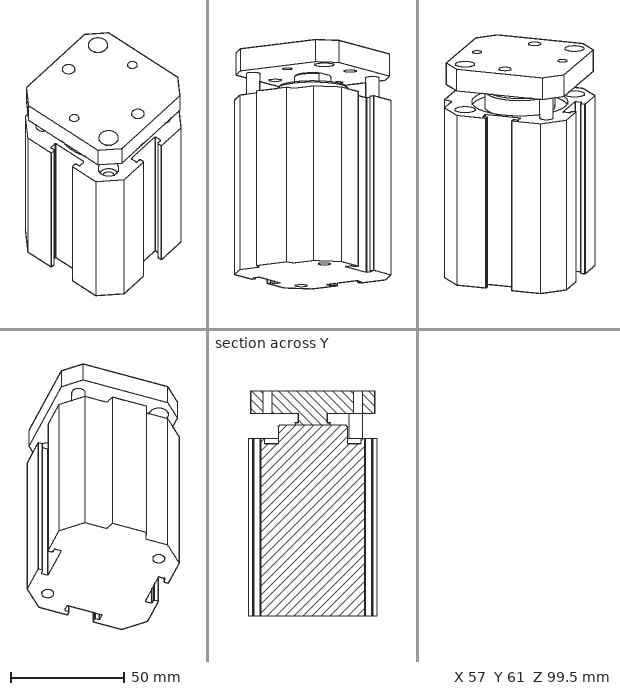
import cadquery as cq
import math

housing_width = 57.0
housing_half = housing_width / 2
housing_height = 78.5
housing_chamfer = 8.9

slot_mouth_half = 6.0
slot_inner_half = 8.25
slot_lip = 2.3
slot_depth = 5.5
slot_mouth_bevel = 0.2
slot_lip_bevel = 0.4
slot_corner_bevel = 0.25

ridge_height = 4.0
ridge_top_half = 8.1
ridge_draft = 15.0
ridge_root_radius = 1.0

corner_offset = 19.0
mount_hole_diameter = 5.3
mount_counterbore_diameter = 9.0
mount_counterbore_depth = 5.5
pin_diameter = 6.0

recess_diameter = 42.5
recess_depth = 2.3
collar_diameter = 31.0
collar_projection = 6.0
collar_chamfer = 0.75

rod_diameter = 16.0
rod_end_chamfer = 0.5
rod_flat_width = 13.0
rod_flat_start = 1.0

plate_width = 55.0
plate_thickness = 10.0
plate_chamfer = 7.5
plate_gap = 11.0
plate_access_diameter = 8.5
plate_hole_offset = 20.0
plate_x_hole_diameter = 5.5
plate_y_hole_diameter = 4.13

collar_top = housing_height + collar_projection
rod_flat_bottom = collar_top + rod_flat_start
plate_bottom = housing_height + plate_gap
mount_points = [(-corner_offset, corner_offset), (corner_offset, -corner_offset)]
pin_points = [(-corner_offset, -corner_offset), (corner_offset, corner_offset)]
plate_x_points = [(-plate_hole_offset, 0), (plate_hole_offset, 0)]
plate_y_points = [(0, -plate_hole_offset), (0, plate_hole_offset)]


def at_height(z):
    """Workplane parallel to XY at height z."""
    return cq.Workplane("XY", origin=(0, 0, z))


def make_octagon_block(width, chamfer, bottom, height):
    """Square block with its four upright corners cut off."""
    block = at_height(bottom).rect(width, width).extrude(height)
    return block.edges("|Z").chamfer(chamfer)


def make_cylinders(points, diameter, bottom, height):
    """One upright cylinder at each point, for cutting holes or standing as pins."""
    return at_height(bottom).pushPoints(points).circle(diameter / 2).extrude(height)


def make_slot_cutter():
    """T-slot on the -Y side: mouth between two beveled lips, wider behind them."""
    face = -housing_half
    lip_back = face + slot_lip
    floor = face + slot_depth
    right_side = [
        (slot_mouth_half + slot_mouth_bevel, face),
        (slot_mouth_half, face + slot_mouth_bevel),
        (slot_mouth_half, lip_back - slot_lip_bevel),
        (slot_mouth_half + slot_lip_bevel, lip_back),
        (slot_inner_half - slot_corner_bevel, lip_back),
        (slot_inner_half, lip_back + slot_corner_bevel),
        (slot_inner_half, floor - slot_corner_bevel),
        (slot_inner_half - slot_corner_bevel, floor),
    ]
    left_side = [(-x, y) for x, y in reversed(right_side)]
    return at_height(0).polyline(right_side + left_side).close().extrude(housing_height)


def make_ridge():
    """Drafted ridge on the +Y side, flaring into the housing face through concave root arcs."""
    draft = math.radians(ridge_draft)
    corner_half = ridge_top_half + ridge_height * math.tan(draft)
    turn = math.pi / 2 - draft
    tangent_length = ridge_root_radius * math.tan(turn / 2)

    top_y = housing_half + ridge_height
    foot_half = corner_half + tangent_length
    flank_half = corner_half - tangent_length * math.sin(draft)
    flank_y = housing_half + tangent_length * math.cos(draft)
    arc_half = foot_half - ridge_root_radius * math.sin(turn / 2)
    arc_y = housing_half + ridge_root_radius * (1 - math.cos(turn / 2))
    buried_y = housing_half - ridge_root_radius

    outline = (
        at_height(0)
        .moveTo(-foot_half, buried_y)
        .lineTo(-foot_half, housing_half)
        .threePointArc((-arc_half, arc_y), (-flank_half, flank_y))
        .lineTo(-ridge_top_half, top_y)
        .lineTo(ridge_top_half, top_y)
        .lineTo(flank_half, flank_y)
        .threePointArc((arc_half, arc_y), (foot_half, housing_half))
        .lineTo(foot_half, buried_y)
        .close()
    )
    return outline.extrude(housing_height)


def make_collar_recess():
    """Round recess sunk into the housing top, in which the collar stands."""
    floor = housing_height - recess_depth
    return at_height(floor).circle(recess_diameter / 2).extrude(recess_depth)


def make_collar():
    """Round collar rising from the recess floor around the piston rod."""
    floor = housing_height - recess_depth
    collar = at_height(floor).circle(collar_diameter / 2).extrude(collar_top - floor)
    return collar.faces(">Z").edges().chamfer(collar_chamfer)


def make_housing():
    body = make_octagon_block(housing_width, housing_chamfer, 0, housing_height)
    for angle in (-90, 0, 90):
        body = body.cut(make_slot_cutter().rotate((0, 0, 0), (0, 0, 1), angle))
    body = body.union(make_ridge())

    counterbore_floor = housing_height - mount_counterbore_depth
    body = body.cut(make_cylinders(mount_points, mount_hole_diameter, 0, housing_height))
    body = body.cut(
        make_cylinders(mount_points, mount_counterbore_diameter, counterbore_floor, mount_counterbore_depth)
    )
    return body.cut(make_collar_recess()).union(make_collar())


def make_plate():
    """Front plate with access holes over the mounting holes and two pairs of small holes."""
    plate = make_octagon_block(plate_width, plate_chamfer, plate_bottom, plate_thickness)
    hole_groups = [
        (mount_points, plate_access_diameter),
        (plate_x_points, plate_x_hole_diameter),
        (plate_y_points, plate_y_hole_diameter),
    ]
    for points, diameter in hole_groups:
        plate = plate.cut(make_cylinders(points, diameter, plate_bottom, plate_thickness))
    return plate


def make_rod():
    """Piston rod from the collar to the plate, chamfered at its end, with two wrench flats."""
    rod = at_height(collar_top).circle(rod_diameter / 2).extrude(plate_bottom - collar_top)
    rod = rod.faces(">Z").edges().chamfer(rod_end_chamfer)
    flat_depth = (rod_diameter - rod_flat_width) / 2
    flat_height = plate_bottom - rod_flat_bottom
    for side in (-1, 1):
        flat_center = side * (rod_flat_width + flat_depth) / 2
        flat = at_height(rod_flat_bottom).center(flat_center, 0).rect(flat_depth, rod_diameter)
        rod = rod.cut(flat.extrude(flat_height))
    return rod


def make_slide():
    """Moving slide: front plate, piston rod and both guide pins as one solid."""
    pins = make_cylinders(pin_points, pin_diameter, housing_height, plate_gap)
    return make_plate().union(make_rod()).union(pins)


housing = make_housing()
slide = make_slide()
result = cq.Compound.makeCompound([housing.val(), slide.val()])